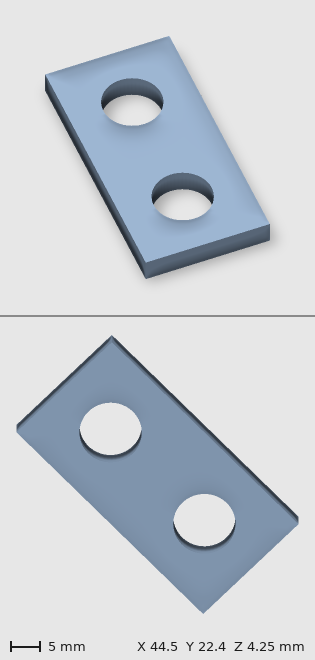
import cadquery as cq

length = 44.45
width = 22.35
thickness = 4.25

hole_diameter = 10.4
hole_spacing = 22.3

plate = cq.Workplane("XY").box(length, width, thickness)

result = (
    plate.faces(">Z")
    .workplane()
    .pushPoints([(-hole_spacing / 2, 0), (hole_spacing / 2, 0)])
    .hole(hole_diameter)
)